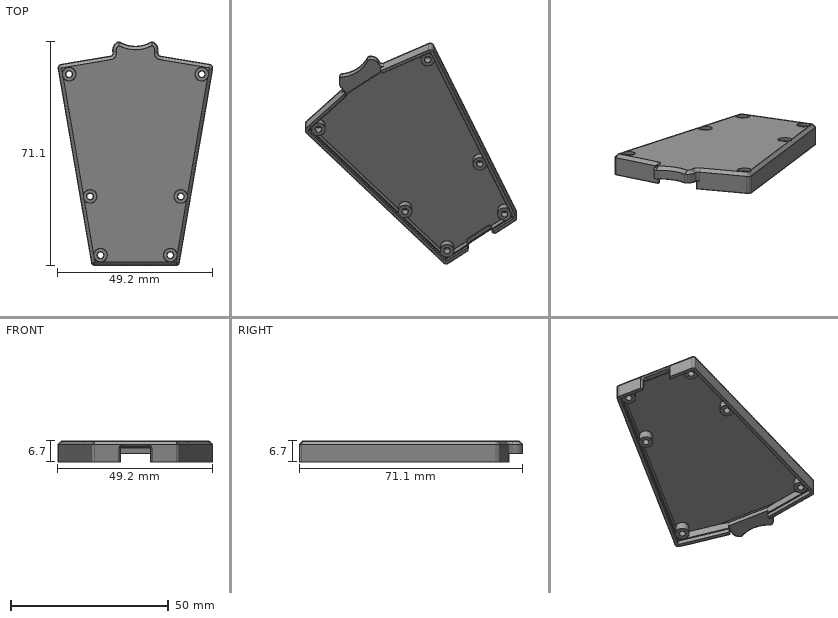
import cadquery as cq
import math

HEIGHT = 6.7
LENGTH = 71.07

FRONT_HALF_WIDTH = 13.81
SHOULDER_HALF_WIDTH = 24.77
SHOULDER_Y = 63.73
SIDE_TILT = math.atan((SHOULDER_HALF_WIDTH - FRONT_HALF_WIDTH) / SHOULDER_Y)
GABLE_TILT = math.radians(9.5)
FRONT_CORNER_RADIUS = 0.9
SHOULDER_RADIUS = 1.2
TOP_CHAMFER = 1.1
STRAIGHT_HEIGHT = HEIGHT - TOP_CHAMFER

TAB_HALF_WIDTH = 7.23
TAB_BOTTOM_Z = 2.75
TAB_OPENING_HALF_WIDTH = 7.0
HORN_RADIUS = 3.0
HORN_X = TAB_HALF_WIDTH - HORN_RADIUS
HORN_Y = 68.35
HORN_TIP_RADIUS = 0.9
SCOOP_RADIUS = 10.0
SCOOP_BOTTOM_Y = 69.68
SCOOP_Y = SCOOP_BOTTOM_Y + SCOOP_RADIUS
TAB_FILLET = 1.0

WALL = 1.3
CEILING_Z = 4.75
CEILING_BEVEL_HEIGHT = 0.45
CEILING_BEVEL_DEPTH = 0.25
LID_LEDGE = 0.35
LID_DEPTH = 1.7

NOTCH_HALF_WIDTH = 4.74
NOTCH_FLARE = 0.54
NOTCH_TOP_Z = STRAIGHT_HEIGHT - NOTCH_FLARE
NOTCH_CORNER_RADIUS = 1.0
NOTCH_DEPTH = WALL + 0.5

HOLE_DIAMETER = 2.05
COUNTERBORE_DIAMETER = 4.3
COUNTERBORE_DEPTH = 1.0
BOSS_DIAMETER = COUNTERBORE_DIAMETER
HOLE_PLACES = [(11.1, 3.22), (14.44, 21.91), (21.11, 60.81)]


def gable_y(x, inset=0.0):
    """Y of the right-hand gable line at x, with the line moved inwards by inset."""
    run = SHOULDER_HALF_WIDTH - x
    return SHOULDER_Y + run * math.tan(GABLE_TILT) - inset / math.cos(GABLE_TILT)


def side_x(y, inset=0.0):
    """X of the right-hand side line at y, with the line moved inwards by inset."""
    return FRONT_HALF_WIDTH + y * math.tan(SIDE_TILT) - inset / math.cos(SIDE_TILT)


def flip(point):
    return (-point[0], point[1])


def mirrored(right_points):
    """A chain of right-hand points followed by its mirror image."""
    return right_points + [flip(point) for point in reversed(right_points)]


def on_circle(centre, radius, angle):
    return (centre[0] + radius * math.cos(angle), centre[1] + radius * math.sin(angle))


def horn_tip_angle():
    """Direction, seen from the horn centre, of the outer crossing of horn and scoop circles."""
    dx = -HORN_X
    dy = SCOOP_Y - HORN_Y
    gap = math.hypot(dx, dy)
    spread = math.acos((HORN_RADIUS**2 + gap**2 - SCOOP_RADIUS**2) / (2 * HORN_RADIUS * gap))
    return math.atan2(dy, dx) - spread


def tab_fillet_centre():
    """Centre of the fillet that touches the outside of the horn and the gable."""
    gap = HORN_RADIUS + TAB_FILLET
    slope = math.tan(GABLE_TILT)
    rise = gable_y(HORN_X, -TAB_FILLET) - HORN_Y
    cos_sq = math.cos(GABLE_TILT) ** 2
    dx = cos_sq * (slope * rise + math.sqrt(gap**2 / cos_sq - rise**2))
    return (HORN_X + dx, HORN_Y + rise - slope * dx)


def outline():
    horn = (HORN_X, HORN_Y)
    fillet = tab_fillet_centre()
    gable_angle = -math.pi / 2 - GABLE_TILT
    contact_angle = math.atan2(fillet[1] - HORN_Y, fillet[0] - HORN_X)
    tip_angle = horn_tip_angle()
    fillet_mid_angle = (gable_angle + contact_angle - math.pi) / 2

    shoulder = (SHOULDER_HALF_WIDTH, SHOULDER_Y)
    fillet_start = on_circle(fillet, TAB_FILLET, gable_angle)
    fillet_mid = on_circle(fillet, TAB_FILLET, fillet_mid_angle)
    contact = on_circle(horn, HORN_RADIUS, contact_angle)
    horn_mid = on_circle(horn, HORN_RADIUS, (contact_angle + tip_angle) / 2)
    tip = on_circle(horn, HORN_RADIUS, tip_angle)
    return (
        cq.Workplane("XY")
        .moveTo(-FRONT_HALF_WIDTH, 0)
        .lineTo(FRONT_HALF_WIDTH, 0)
        .lineTo(*shoulder)
        .lineTo(*fillet_start)
        .threePointArc(fillet_mid, contact)
        .threePointArc(horn_mid, tip)
        .threePointArc((0, SCOOP_BOTTOM_Y), flip(tip))
        .threePointArc(flip(horn_mid), flip(contact))
        .threePointArc(flip(fillet_mid), flip(fillet_start))
        .lineTo(*flip(shoulder))
        .close()
    )


def corner_trim(before, corner, after, radius):
    """Material to remove so that a sloped convex corner becomes a cylinder topped by a cone."""
    arm_angle = math.atan2(before[1] - corner[1], before[0] - corner[0])
    other_angle = math.atan2(after[1] - corner[1], after[0] - corner[0])
    opening = (arm_angle - other_angle) % (2 * math.pi)
    tangent_length = radius / math.tan(opening / 2)
    centre_distance = radius / math.sin(opening / 2)
    centre = on_circle(corner, centre_distance, other_angle + opening / 2)
    kite = [
        corner,
        on_circle(corner, tangent_length, other_angle),
        centre,
        on_circle(corner, tangent_length, arm_angle),
    ]
    post = cq.Workplane("XY").center(*centre).circle(radius).extrude(STRAIGHT_HEIGHT)
    cone = cq.Solid.makeCone(radius, 0, radius, pnt=cq.Vector(*centre, STRAIGHT_HEIGHT))
    return cq.Workplane("XY").polyline(kite).close().extrude(HEIGHT).cut(post).cut(cq.Workplane(obj=cone))


def blank():
    """Solid block with a 45 degree slope round its top and all its outer corners rounded."""
    slope = outline().extrude(TOP_CHAMFER, taper=45).translate((0, 0, STRAIGHT_HEIGHT))
    block = outline().extrude(STRAIGHT_HEIGHT).union(slope)
    block = block.edges("|Z").edges(">Y").fillet(HORN_TIP_RADIUS)

    front = (FRONT_HALF_WIDTH, 0)
    shoulder = (SHOULDER_HALF_WIDTH, SHOULDER_Y)
    gable = (TAB_HALF_WIDTH, gable_y(TAB_HALF_WIDTH))
    trims = [
        corner_trim(flip(front), front, shoulder, FRONT_CORNER_RADIUS),
        corner_trim(front, shoulder, gable, SHOULDER_RADIUS),
    ]
    for trim in trims:
        block = block.cut(trim).cut(trim.mirror("YZ"))
    return block


def hole_points():
    return [(side * x, y) for x, y in HOLE_PLACES for side in (-1, 1)]


def inner_prism(inset, height):
    """Prism that follows the body's walls at the given inset, with a flat back behind the tab."""
    shoulder_x = SHOULDER_HALF_WIDTH - inset * (math.cos(SIDE_TILT) + math.sin(GABLE_TILT))
    flat = TAB_OPENING_HALF_WIDTH
    right = [
        (side_x(inset, inset), inset),
        (shoulder_x, gable_y(shoulder_x, inset)),
        (flat, gable_y(flat, inset)),
    ]
    return cq.Workplane("XY").polyline(mirrored(right)).close().extrude(height)


def cavity():
    """Hollow with a bevelled rear ceiling edge, round bosses left standing and a recess for a lid."""
    hollow = inner_prism(WALL, CEILING_Z)
    hollow = hollow.faces(">Z").edges(">Y").chamfer(CEILING_BEVEL_DEPTH, CEILING_BEVEL_HEIGHT)
    bosses = cq.Workplane("XY").pushPoints(hole_points()).circle(BOSS_DIAMETER / 2).extrude(CEILING_Z)
    return hollow.cut(bosses).union(inner_prism(WALL - LID_LEDGE, LID_DEPTH))


def tab_opening():
    """Space below the tab, running through the back wall into the cavity."""
    side = TAB_HALF_WIDTH + 2 * TAB_FILLET
    half = TAB_OPENING_HALF_WIDTH
    right = [
        (half, gable_y(half, 2 * WALL)),
        (half, gable_y(half)),
        (side, gable_y(side)),
        (side, LENGTH),
    ]
    return cq.Workplane("XY").polyline(mirrored(right)).close().extrude(TAB_BOTTOM_Z)


def notch_mouth(grow, depth):
    """Notch opening at a depth behind the front face, mirrored below the base and grown all round."""
    return (
        cq.Sketch()
        .rect(2 * (NOTCH_HALF_WIDTH + grow), 2 * (NOTCH_TOP_Z + grow))
        .vertices()
        .fillet(NOTCH_CORNER_RADIUS + grow)
        .moved(cq.Location(cq.Vector(0, 0, -depth)))
    )


def notch():
    """Connector notch, open at the base, whose mouth flares out towards the front face."""
    opening = cq.Workplane("XZ").placeSketch(notch_mouth(0, 0)).extrude(-NOTCH_DEPTH)
    flare = cq.Workplane("XZ").placeSketch(notch_mouth(NOTCH_FLARE, 0), notch_mouth(0, NOTCH_FLARE)).loft()
    return opening.union(flare)


def screw_holes(part):
    top = part.faces(">Z").workplane(origin=(0, 0, HEIGHT))
    return top.pushPoints(hole_points()).cboreHole(HOLE_DIAMETER, COUNTERBORE_DIAMETER, COUNTERBORE_DEPTH)


result = screw_holes(blank().cut(cavity()).cut(tab_opening()).cut(notch()))